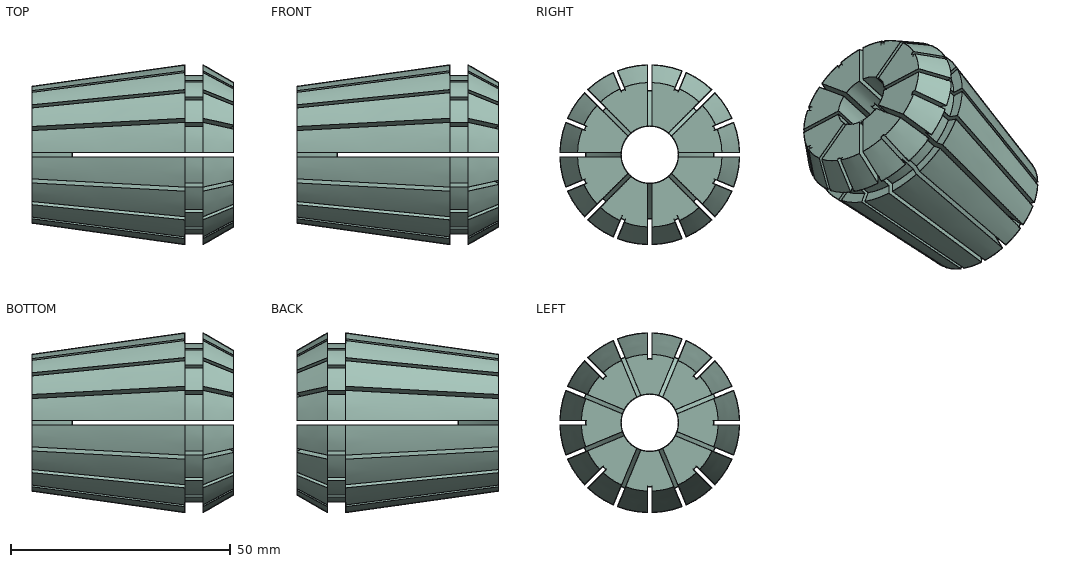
import cadquery as cq
import math

length = 46.0
max_radius = 20.5
bore_radius = 6.5

taper_length = 34.9
taper_angle = 8.0
groove_width = 4.1
groove_radius = 18.1
nose_angle = 30.0

groove_end = taper_length + groove_width
narrow_radius = max_radius - taper_length * math.tan(math.radians(taper_angle))
nose_radius = max_radius - (length - groove_end) * math.tan(math.radians(nose_angle))

slot_width = 1.0
slots_per_set = 8
slot_pitch = 360.0 / slots_per_set
saw_radius = 40.0
nose_slot_floor_radius = 14.6
nose_slot_run_out = 9.25
narrow_slot_floor_radius = 15.95
narrow_slot_run_out = 8.0


def make_body():
    """Tapered body with the extraction groove and the through bore."""
    outline = [
        (0, bore_radius),
        (0, narrow_radius),
        (taper_length, max_radius),
        (taper_length, groove_radius),
        (groove_end, groove_radius),
        (groove_end, max_radius),
        (length, nose_radius),
        (length, bore_radius),
    ]
    return cq.Workplane("XY").polyline(outline).close().revolve(360, (0, 0, 0), (1, 0, 0))


def make_saw_disc(joined_x, bore_x, floor_radius):
    """Saw disc in the XY plane that cuts one slot.

    Its rim passes through the bore wall at bore_x and through floor_radius on the
    end face at joined_x; its centre lies outward and toward the opposite end.
    """
    step_x = bore_x - joined_x
    drop = floor_radius - bore_radius
    chord = math.hypot(step_x, drop)
    chord_offset = math.sqrt(saw_radius**2 - (chord / 2) ** 2)
    toward_open = math.copysign(1, step_x)
    centre_x = (joined_x + bore_x) / 2 + toward_open * chord_offset * drop / chord
    centre_y = (floor_radius + bore_radius) / 2 + chord_offset * abs(step_x) / chord
    disc = cq.Workplane("XY").center(centre_x, centre_y).circle(saw_radius)
    return disc.extrude(slot_width / 2, both=True)


def cut_slot_set(body, saw_disc, first_angle):
    """Cut equally spaced slots with copies of a saw disc around the axis."""
    for index in range(slots_per_set):
        angle = first_angle + index * slot_pitch
        body = body.cut(saw_disc.rotate((0, 0, 0), (1, 0, 0), angle))
    return body


nose_side_disc = make_saw_disc(0, nose_slot_run_out, nose_slot_floor_radius)
narrow_side_disc = make_saw_disc(length, length - narrow_slot_run_out, narrow_slot_floor_radius)

result = make_body()
result = cut_slot_set(result, nose_side_disc, 0)
result = cut_slot_set(result, narrow_side_disc, slot_pitch / 2)